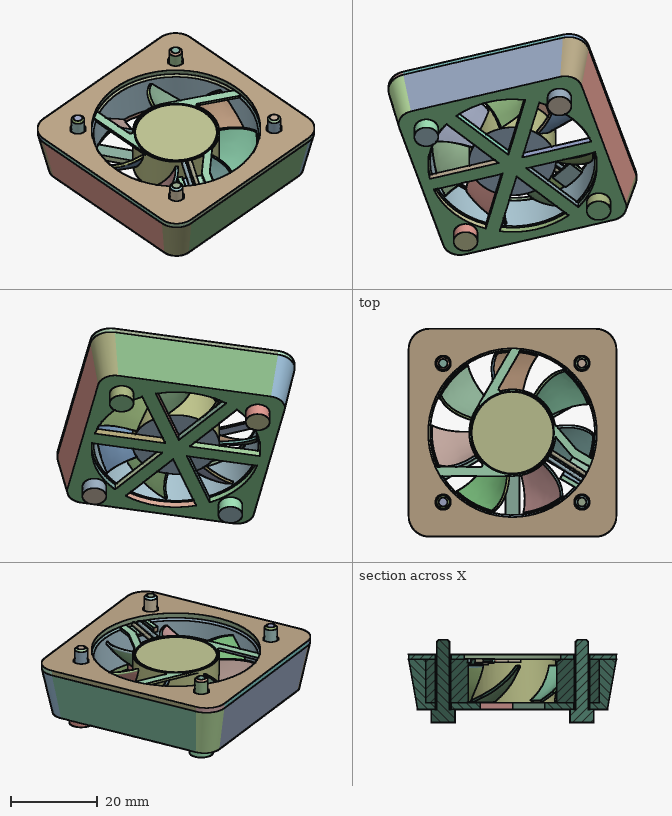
import cadquery as cq
import math


LID_SIZE = 48.0
LID_CORNER_RADIUS = 4.8
LID_THICKNESS = 1.2
BASE_BOTTOM_SIZE = 43.85
BASE_CORNER_RADIUS = 4.0
FLOOR_THICKNESS = 1.6
MOUTH_DIAMETER = 39.0
GRILLE_BAR_WIDTH = 3.3
GRILLE_BAR_COUNT = 3
GRILLE_FIRST_ANGLE = 30.0

FAN_SIZE = 40.0
FAN_HEIGHT = 10.0
FAN_CORNER_RADIUS = 2.9
FAN_BORE_DIAMETER = 38.0
HUB_DIAMETER = 20.0
LABEL_RECESS_DIAMETER = 19.2
LABEL_DIAMETER = 18.8
LABEL_GROOVE_DEPTH = 0.2
STRUT_WIDTH = 2.1
STRUT_THICKNESS = 0.6
STRUT_ANGLES = (60.0, 180.0)
STRUT_FILLET = 0.5

BRACKET_ANGLE = -30.0
BRACKET_START = 14.8
BRACKET_LEFT = 4.05
BRACKET_RIGHT = -3.7
CHANNEL_LEFT = 2.1
CHANNEL_RIGHT = -2.6
CHANNEL_DEPTH = 0.7
BRACKET_THICKNESS = 1.2
ARM_LEFT_AT_HUB = (7.4, 6.6)
ARM_RIGHT_AT_HUB = (7.6, 4.65)
ARM_BEND_RADIUS = 2.9
WIRE_DIAMETER = 1.0
WIRE_EMBEDDING = 0.1
WIRE_ANGLE = -33.0
WIRE_OFFSETS = (1.1, -0.35)

BLADE_COUNT = 7
BLADE_TIP_DIAMETER = 37.25
BLADE_MIDDLE_ANGLE = -62.0
BLADE_THICKNESS = 0.65
BLADE_CAMBER = 0.7
BLADE_LOW_Z = 2.15
BLADE_HIGH_Z = 10.1
BLADE_SECTIONS = (
    (8.65, -16.7, 15.8),
    (12.5, -16.5, 15.8),
    (15.85, -18.5, 12.9),
    (19.2, -23.4, 6.4),
)

SCREW_SPACING = 32.0
SCREW_DIAMETER = 3.0
SCREW_TIP_CHAMFER = 0.5
SCREW_HEAD_DIAMETER = 5.5
SCREW_HEAD_HEIGHT = 3.0
SCREW_PROJECTION = 3.35
HOUSING_HOLE_DIAMETER = 3.6
FAN_HOLE_DIAMETER = 3.45

FAN_TOP = FLOOR_THICKNESS + FAN_HEIGHT
LID_TOP = FAN_TOP + LID_THICKNESS
CHANNEL_FLOOR = FAN_TOP - CHANNEL_DEPTH
RIM_CHAMFER = (MOUTH_DIAMETER - FAN_BORE_DIAMETER) / 2
SCREW_POSITIONS = [
    (i * SCREW_SPACING / 2, j * SCREW_SPACING / 2) for i in (-1, 1) for j in (-1, 1)
]


def cylinder(diameter, bottom, top):
    """Solid cylinder on the fan axis between two levels."""
    return cq.Workplane("XY", origin=(0, 0, bottom)).circle(diameter / 2).extrude(top - bottom)


def rounded_square(size, radius, bottom, top):
    """Upright square block with rounded vertical edges."""
    block = cq.Workplane("XY", origin=(0, 0, bottom)).rect(size, size).extrude(top - bottom)
    return block.edges("|Z").fillet(radius)


def screw_holes(diameter, bottom, top):
    """Cutter for the four screw holes."""
    plane = cq.Workplane("XY", origin=(0, 0, bottom))
    return plane.pushPoints(SCREW_POSITIONS).circle(diameter / 2).extrude(top - bottom)


def make_lid():
    lid = rounded_square(LID_SIZE, LID_CORNER_RADIUS, FAN_TOP, LID_TOP)
    lid = lid.cut(cylinder(MOUTH_DIAMETER, FAN_TOP, LID_TOP))
    return lid.cut(screw_holes(HOUSING_HOLE_DIAMETER, FAN_TOP, LID_TOP))


def make_base():
    bottom = cq.Sketch().rect(BASE_BOTTOM_SIZE, BASE_BOTTOM_SIZE).vertices().fillet(BASE_CORNER_RADIUS)
    top = cq.Sketch().rect(LID_SIZE, LID_SIZE).vertices().fillet(LID_CORNER_RADIUS)
    lift = cq.Location(cq.Vector(0, 0, FAN_TOP))
    base = cq.Workplane("XY").placeSketch(bottom, top.moved(lift)).loft()
    base = base.cut(rounded_square(FAN_SIZE, FAN_CORNER_RADIUS, FLOOR_THICKNESS, FAN_TOP))

    opening = cylinder(MOUTH_DIAMETER, 0, FLOOR_THICKNESS)
    for i in range(GRILLE_BAR_COUNT):
        angle = GRILLE_FIRST_ANGLE + i * 180 / GRILLE_BAR_COUNT
        bar = cq.Workplane("XY").rect(LID_SIZE, GRILLE_BAR_WIDTH).extrude(FLOOR_THICKNESS)
        opening = opening.cut(bar.rotate((0, 0, 0), (0, 0, 1), angle))
    base = base.cut(opening)
    return base.cut(screw_holes(HOUSING_HOLE_DIAMETER, 0, FLOOR_THICKNESS))


def make_fan_frame():
    frame = rounded_square(FAN_SIZE, FAN_CORNER_RADIUS, FLOOR_THICKNESS, FAN_TOP)
    frame = frame.cut(cylinder(FAN_BORE_DIAMETER, FLOOR_THICKNESS, FAN_TOP))
    bore_edge = cq.selectors.RadiusNthSelector(-1)
    frame = frame.faces(">Z").edges("%CIRCLE").edges(bore_edge).chamfer(RIM_CHAMFER)
    return frame.cut(screw_holes(FAN_HOLE_DIAMETER, FLOOR_THICKNESS, FAN_TOP))


def make_hub():
    hub = cylinder(HUB_DIAMETER, FLOOR_THICKNESS, FAN_TOP)
    groove = cylinder(LABEL_RECESS_DIAMETER, FAN_TOP - LABEL_GROOVE_DEPTH, FAN_TOP)
    groove = groove.cut(cylinder(LABEL_DIAMETER, FAN_TOP - LABEL_GROOVE_DEPTH, FAN_TOP))
    return hub.cut(groove)


def make_strut(angle):
    """Flat strut tangent to the hub, running out to the rim in the given direction."""
    length = MOUTH_DIAMETER / 2
    inner_side = HUB_DIAMETER / 2 - STRUT_WIDTH
    corner_x = math.sqrt((HUB_DIAMETER / 2) ** 2 - inner_side**2)
    strut = (
        cq.Workplane("XY", origin=(length / 2, inner_side + STRUT_WIDTH / 2, FAN_TOP - STRUT_THICKNESS))
        .rect(length, STRUT_WIDTH)
        .extrude(STRUT_THICKNESS)
        .union(cylinder(HUB_DIAMETER, FAN_TOP - STRUT_THICKNESS, FAN_TOP))
    )
    corner = cq.selectors.NearestToPointSelector((corner_x, inner_side, FAN_TOP - STRUT_THICKNESS / 2))
    strut = strut.edges(corner).fillet(STRUT_FILLET).cut(cylinder(HUB_DIAMETER, 0, FAN_TOP))
    return strut.rotate((0, 0, 0), (0, 0, 1), angle)


def make_cable_bracket():
    """Block at the rim with a bent arm that joins it to the hub."""
    end = MOUTH_DIAMETER / 2
    block = (
        cq.Workplane("XY", origin=(0, 0, FAN_TOP - BRACKET_THICKNESS))
        .moveTo(BRACKET_START, BRACKET_RIGHT)
        .lineTo(end, BRACKET_RIGHT)
        .lineTo(end, CHANNEL_LEFT)
        .lineTo(BRACKET_START, CHANNEL_LEFT)
        .close()
        .extrude(BRACKET_THICKNESS)
    )
    arm = (
        cq.Workplane("XY", origin=(0, 0, FAN_TOP - STRUT_THICKNESS))
        .moveTo(*ARM_RIGHT_AT_HUB)
        .lineTo(BRACKET_START, CHANNEL_LEFT)
        .lineTo(end, CHANNEL_LEFT)
        .lineTo(end, BRACKET_LEFT)
        .lineTo(BRACKET_START, BRACKET_LEFT)
        .lineTo(*ARM_LEFT_AT_HUB)
        .close()
        .extrude(STRUT_THICKNESS)
    )
    bend = cq.selectors.NearestToPointSelector((BRACKET_START, BRACKET_LEFT, FAN_TOP - STRUT_THICKNESS / 2))
    arm = arm.edges(bend).fillet(ARM_BEND_RADIUS)
    bracket = block.union(arm).cut(cylinder(HUB_DIAMETER, 0, FAN_TOP))
    return bracket.rotate((0, 0, 0), (0, 0, 1), BRACKET_ANGLE)


def make_channel():
    """Cutter for the wire channel across the bracket, ending at the rim of the fan mouth."""
    start = HUB_DIAMETER / 2
    length = MOUTH_DIAMETER / 2 - start
    channel = (
        cq.Workplane("XY", origin=(start + length / 2, (CHANNEL_LEFT + CHANNEL_RIGHT) / 2, CHANNEL_FLOOR))
        .rect(length, CHANNEL_LEFT - CHANNEL_RIGHT)
        .extrude(CHANNEL_DEPTH)
        .intersect(cylinder(MOUTH_DIAMETER, CHANNEL_FLOOR, FAN_TOP))
        .cut(cylinder(HUB_DIAMETER, CHANNEL_FLOOR, FAN_TOP))
    )
    return channel.rotate((0, 0, 0), (0, 0, 1), BRACKET_ANGLE)


def make_wire(offset):
    """Wire bedded in the channel floor, from the hub to the rim of the fan mouth."""
    wire_axis_z = CHANNEL_FLOOR + WIRE_DIAMETER / 2 - WIRE_EMBEDDING
    wire = (
        cq.Workplane("YZ", origin=(0, offset, wire_axis_z))
        .circle(WIRE_DIAMETER / 2)
        .extrude(LID_SIZE / 2)
        .intersect(cylinder(MOUTH_DIAMETER, 0, LID_TOP))
        .cut(cylinder(HUB_DIAMETER, 0, LID_TOP))
    )
    return wire.rotate((0, 0, 0), (0, 0, 1), WIRE_ANGLE)


def blade_section(distance, low_angle, high_angle):
    """Closed outline of the blade in the plane X = distance: a bowed strip with a round high edge."""
    low_y = distance * math.tan(math.radians(low_angle))
    high_y = distance * math.tan(math.radians(high_angle))
    width = high_y - low_y
    height = BLADE_HIGH_Z - BLADE_LOW_Z
    length = math.hypot(width, height)

    def point(along, below):
        """Point at a fraction of the upper chord and a depth below it."""
        y = low_y + along * width + below * height / length
        z = BLADE_LOW_Z + along * height - below * width / length
        return cq.Vector(distance, y, z)

    nose = 1 + BLADE_THICKNESS / 2 / length
    upper_low, upper_high = point(0, 0), point(1, 0)
    lower_low, lower_high = point(0, BLADE_THICKNESS), point(1, BLADE_THICKNESS)
    return cq.Wire.assembleEdges([
        cq.Edge.makeThreePointArc(upper_low, point(0.5, BLADE_CAMBER), upper_high),
        cq.Edge.makeThreePointArc(upper_high, point(nose, BLADE_THICKNESS / 2), lower_high),
        cq.Edge.makeThreePointArc(lower_high, point(0.5, BLADE_CAMBER + BLADE_THICKNESS), lower_low),
        cq.Edge.makeLine(lower_low, upper_low),
    ])


def make_blade():
    """Twisted blade along +X, lofted outwards through its slanted sections."""
    blade = cq.Workplane(cq.Solid.makeLoft([blade_section(*section) for section in BLADE_SECTIONS]))
    return blade.intersect(cylinder(BLADE_TIP_DIAMETER, 0, FAN_TOP))


def make_fan():
    fan = make_hub()
    blade = make_blade()
    for i in range(BLADE_COUNT):
        fan = fan.union(blade.rotate((0, 0, 0), (0, 0, 1), BLADE_MIDDLE_ANGLE + i * 360 / BLADE_COUNT))
    for angle in STRUT_ANGLES:
        fan = fan.union(make_strut(angle))
    fan = fan.union(make_cable_bracket())
    fan = fan.intersect(cylinder(MOUTH_DIAMETER, 0, FAN_TOP))
    fan = fan.union(make_fan_frame()).cut(make_channel())
    for offset in WIRE_OFFSETS:
        fan = fan.union(make_wire(offset))
    return fan


def make_screw(x, y):
    """Screw with its head under the base and its chamfered tip above the lid."""
    length = LID_TOP + SCREW_PROJECTION
    shank = cq.Workplane("XY", origin=(x, y, 0)).circle(SCREW_DIAMETER / 2).extrude(length)
    shank = shank.faces(">Z").chamfer(SCREW_TIP_CHAMFER)
    head = cq.Workplane("XY", origin=(x, y, 0)).circle(SCREW_HEAD_DIAMETER / 2).extrude(-SCREW_HEAD_HEIGHT)
    return shank.union(head)


lid = make_lid()
base = make_base()
fan = make_fan()
screws = [make_screw(x, y) for x, y in SCREW_POSITIONS]

bodies = [lid, base, fan, *screws]
result = cq.Compound.makeCompound([body.solids().val() for body in bodies])